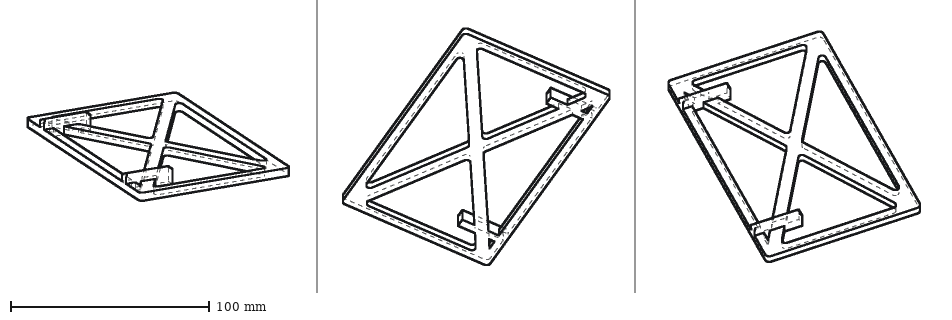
import cadquery as cq
import math

length = 127.0
width = 85.0
plate_thickness = 4.5
outer_corner_radius = 2.3

side_border = 5.0
end_border = 5.2
strap_width = 6.9
strap_angle = 32.1
window_radius = 1.9

rail_width = 4.6
rail_length = 26.3
rail_height = 8.8
rail_spacing = 91.2
rail_edge_radius = 1.3

inner_x = length / 2 - side_border
inner_y = width / 2 - end_border
strap_slope = math.tan(math.radians(strap_angle))
strap_offset_y = strap_width / 2 / math.cos(math.radians(strap_angle))
side_apex_x = strap_offset_y / strap_slope
side_corner_y = inner_x * strap_slope - strap_offset_y
end_corner_x = (inner_y - strap_offset_y) / strap_slope


def triangle_window(points):
    """Triangular cutter through the full plate thickness."""
    return cq.Workplane("XY").polyline(points).close().extrude(plate_thickness)


def side_window(side):
    """Rounded window at the left (-1) or right (+1) side."""
    points = [
        (side * side_apex_x, 0),
        (side * inner_x, side_corner_y),
        (side * inner_x, -side_corner_y),
    ]
    return triangle_window(points).edges("|Z").fillet(window_radius)


def end_window(end, rounded_edges):
    """Window at the front (-1) or back (+1), rounded at the selected edges."""
    points = [
        (0, end * strap_offset_y),
        (end_corner_x, end * inner_y),
        (-end_corner_x, end * inner_y),
    ]
    return triangle_window(points).edges(rounded_edges).fillet(window_radius)


def rail(center_x):
    """Full-height bar flush with the front edge, rounded around its top face."""
    return (
        cq.Workplane("XY")
        .box(rail_width, rail_length, rail_height, centered=(True, False, False))
        .faces(">Z").edges().fillet(rail_edge_radius)
        .translate((center_x, -width / 2, 0))
    )


result = (
    cq.Workplane("XY")
    .box(length, width, plate_thickness, centered=(True, True, False))
    .edges("|Z").fillet(outer_corner_radius)
)

for side in (-1, 1):
    result = result.cut(side_window(side))

result = result.cut(end_window(1, "|Z"))
result = result.cut(end_window(-1, "|Z and >Y"))

for side in (-1, 1):
    result = result.union(rail(side * rail_spacing / 2))